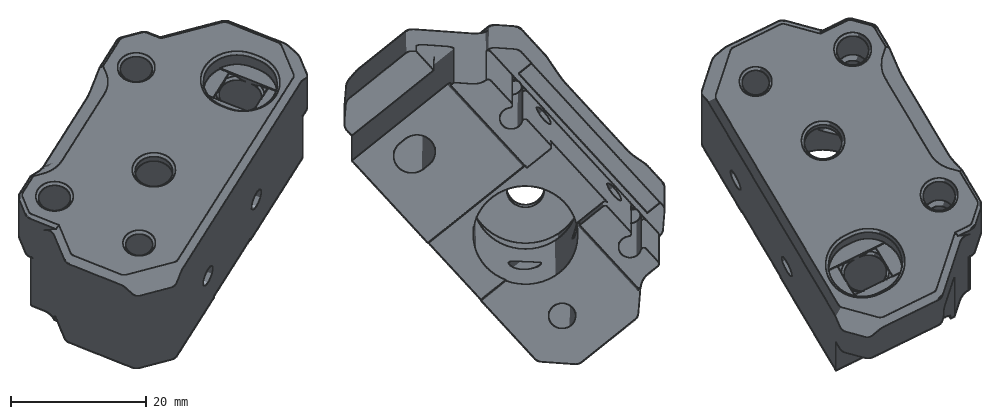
import cadquery as cq
WIDTH, LENGTH, HEIGHT = 27.65, 51.25, 21.4
OVERSHOOT = 0.5

FRONT_LEDGE_Y = 4.65
BACK_LEDGE_Y = 43.65
LOBE_CORNER = 2.9
FRONT_SLANT_X = 11.75
BACK_SLANT_X = 12.5
FRONT_RIGHT_CORNER = 4.35
BACK_RIGHT_CORNER = 3.0
CONVEX_RADIUS = 1.5
CONCAVE_RADIUS = 3.0

LOBE_CHAMFER = 0.5
SIDE_CHAMFER = 1.0
CORNER_CHAMFER = 2.5
MITRE_REACH = 2.55

WALL_X = 3.4
WALL_CORNER_RADIUS = 0.5
LOBE_BOTTOM = 11.65
PAD_WIDTH, PAD_DROP = 2.5, 0.15
PAD_FRONT, PAD_BACK = 8.65, 37.85
FOOT_RIGHT, FOOT_FRONT = 8.4, 3.8
FOOT_HEIGHT, FOOT_FILLET = 1.45, 0.65
STEP_Y = 46.5
STEP_HEIGHT = 11.5
RECESS_TOP, RECESS_RIGHT, RECESS_FILLET = 14.4, 11.7, 0.8

LOBE_MID_Y = 23.15
NOTCH_WIDTH, NOTCH_HEIGHT, NOTCH_LIP = 12.0, 1.75, 0.45
SCOOP_LENGTH, SCOOP_DEPTH, SCOOP_RADIUS = 13.9, 3.0, 5.0
CROSS_HOLE_DIAMETER, CROSS_HOLE_SPACING, CROSS_HOLE_Z = 3.2, 16.0, 8.95
SCREW_X, SCREW_SPACING = 5.0, 26.95
SCREW_DIAMETER, HEAD_DIAMETER, HEAD_FLOOR = 3.4, 4.7, 14.5
SCREW_SLOT_WIDTH, SCREW_SLOT_LIP = 2.65, 0.45

RIM_CHAMFER = 0.4
CENTRE_X, CENTRE_Y, CENTRE_DIAMETER = 15.95, 20.7, 5.6
CAVITY_DIAMETER, CAVITY_ROOF = 17.0, 19.95
CAVITY_LOWER_DIAMETER, CAVITY_LEDGE = 15.5, 15.65
PLAIN_HOLE_X, PLAIN_HOLE_Y, PLAIN_HOLE_DIAMETER = 20.15, 7.5, 4.0
POCKET_X, POCKET_Y = 19.95, 41.25
POCKET_DIAMETER, POCKET_DEPTH = 10.0, 2.65
BORE_DIAMETER = 5.4
STRETCH = 1.0
FLOOR_STEP = 0.2


def box(x0, x1, y0, y1, z0, z1):
    corner = cq.Workplane("XY", origin=(x0, y0, z0))
    return corner.box(x1 - x0, y1 - y0, z1 - z0, centered=False)


def mirrored_about_middle(distance):
    """The two Y positions a given distance apart, centred on the lobe."""
    return LOBE_MID_Y - distance / 2, LOBE_MID_Y + distance / 2


def upright_edge(solid, x, y):
    """Vertical edge of the solid at (x, y)."""
    near = 0.005
    zone = cq.selectors.BoxSelector((x - near, y - near, 0), (x + near, y + near, HEIGHT))
    return solid.edges("|Z").edges(zone)


def round_hole(x, y, diameter, bottom, top):
    return cq.Workplane("XY", origin=(x, y, bottom)).circle(diameter / 2).extrude(top - bottom)


def funnel(x, y, top_diameter, bottom_diameter, top):
    """45 degree cone that narrows downwards."""
    depth = (top_diameter - bottom_diameter) / 2
    centre = cq.Vector(x, y, top)
    down = cq.Vector(0, 0, -1)
    return cq.Workplane(obj=cq.Solid.makeCone(top_diameter / 2, bottom_diameter / 2, depth, centre, down))


def hole_with_rim(x, y, diameter, bottom):
    """Round hole from the top face down, with a chamfered rim."""
    rim = funnel(x, y, diameter + 2 * RIM_CHAMFER, diameter, HEIGHT)
    return round_hole(x, y, diameter, bottom, HEIGHT).union(rim)


def stretched_hole(diameter, bottom, top):
    """Hole at the pocket position, lengthened along X."""
    base = cq.Workplane("XY", origin=(POCKET_X, POCKET_Y, bottom))
    return base.slot2D(diameter + STRETCH, diameter).extrude(top - bottom)


def stretched_rim(diameter, top):
    """45 degree rim around a stretched hole."""
    mouth = stretched_hole(diameter + 2 * RIM_CHAMFER, top - RIM_CHAMFER, top + RIM_CHAMFER)
    return mouth.faces("<Z").edges().chamfer(RIM_CHAMFER)


def corner_edges(solid, x, y):
    """The vertical edge at a corner and the sloped edge where its two top chamfers meet."""
    mitre_zone = cq.selectors.BoxSelector(
        (x - MITRE_REACH, y - MITRE_REACH, HEIGHT - SIDE_CHAMFER),
        (x + MITRE_REACH, y + MITRE_REACH, HEIGHT),
    )
    return upright_edge(solid, x, y).vals() + solid.edges("not #Z").edges(mitre_zone).vals()


def chamfered_prism(outline):
    """Prism over (x, y, chamfer) rows; a row's chamfer, if any, runs to the next row.

    Corners between two chamfered sides are rounded.
    """
    prism = cq.Workplane("XY").polyline([(x, y) for x, y, _ in outline]).close().extrude(HEIGHT)
    sides = [side for side in zip(outline, outline[1:] + outline[:1]) if side[0][2]]
    for (x0, y0, chamfer), (x1, y1, _) in sorted(sides, key=lambda side: -side[0][2]):
        middle = cq.selectors.NearestToPointSelector(((x0 + x1) / 2, (y0 + y1) / 2, HEIGHT))
        prism = prism.faces(">Z").edges(middle).chamfer(chamfer)

    rounded = []
    for before, (x, y, chamfer) in zip(outline[-1:] + outline[:-1], outline):
        if before[2] and chamfer:
            rounded += corner_edges(prism, x, y)
    return prism.newObject(rounded).fillet(CONVEX_RADIUS)


def solid_block():
    lobe = chamfered_prism([
        (0, FRONT_LEDGE_Y + LOBE_CORNER, LOBE_CHAMFER),
        (LOBE_CORNER, FRONT_LEDGE_Y, LOBE_CHAMFER),
        (WIDTH / 2, FRONT_LEDGE_Y, 0),
        (WIDTH / 2, BACK_LEDGE_Y, LOBE_CHAMFER),
        (LOBE_CORNER, BACK_LEDGE_Y, LOBE_CHAMFER),
        (0, BACK_LEDGE_Y - LOBE_CORNER, LOBE_CHAMFER),
    ])
    hidden_x = LOBE_CORNER
    main_body = chamfered_prism([
        (hidden_x, FRONT_SLANT_X - hidden_x, SIDE_CHAMFER),
        (FRONT_SLANT_X, 0, SIDE_CHAMFER),
        (WIDTH - FRONT_RIGHT_CORNER, 0, CORNER_CHAMFER),
        (WIDTH, FRONT_RIGHT_CORNER, SIDE_CHAMFER),
        (WIDTH, LENGTH - BACK_RIGHT_CORNER, CORNER_CHAMFER),
        (WIDTH - BACK_RIGHT_CORNER, LENGTH, SIDE_CHAMFER),
        (BACK_SLANT_X, LENGTH, SIDE_CHAMFER),
        (hidden_x, LENGTH - BACK_SLANT_X + hidden_x, 0),
    ])
    block = lobe.union(main_body)

    concave_corners = [
        (FRONT_SLANT_X - FRONT_LEDGE_Y, FRONT_LEDGE_Y),
        (BACK_SLANT_X - LENGTH + BACK_LEDGE_Y, BACK_LEDGE_Y),
    ]
    for x, y in concave_corners:
        block = upright_edge(block, x, y).fillet(CONCAVE_RADIUS)
    return block


left, right = -OVERSHOOT, WIDTH + OVERSHOOT
front, back = -OVERSHOOT, LENGTH + OVERSHOOT
below = -OVERSHOOT


def lobe_undercut():
    """Space under the lobe, beside the rounded lower wall; a thin pad stays on the lobe."""
    space = box(left, WALL_X + WALL_CORNER_RADIUS, front, STEP_Y, below, LOBE_BOTTOM)
    wall = box(WALL_X, WIDTH, FRONT_LEDGE_Y, BACK_LEDGE_Y, below, LOBE_BOTTOM)
    wall = wall.edges("|Z and <X").fillet(WALL_CORNER_RADIUS)
    pad = box(left, PAD_WIDTH, PAD_FRONT, PAD_BACK, LOBE_BOTTOM - PAD_DROP, LOBE_BOTTOM)
    return space.cut(wall).cut(pad)


def foot_relief():
    """Shallow relief that leaves a foot along the lower left wall."""
    relief = box(WALL_X, right, front, back, below, FOOT_HEIGHT)
    relief = relief.cut(box(WALL_X, FOOT_RIGHT, FOOT_FRONT, back, below, FOOT_HEIGHT))
    foot_sides = cq.selectors.BoxSelector(
        (WALL_X, FOOT_FRONT - OVERSHOOT, 0),
        (FOOT_RIGHT + OVERSHOOT, LENGTH, HEIGHT),
    )
    return relief.faces(">Z").edges(foot_sides).fillet(FOOT_FILLET)


def raised_back():
    """Step in the underside at the back, with a deeper recess under the back slant."""
    step = box(left, right, STEP_Y, back, below, STEP_HEIGHT)
    recess = box(left, RECESS_RIGHT, STEP_Y, back, below, RECESS_TOP)
    return step.union(recess.edges("(>X or <Y) and >Z").fillet(RECESS_FILLET))


def cut_notch(block):
    """Notch across the underside with rounded lips at the lower left wall."""
    sides = mirrored_about_middle(NOTCH_WIDTH)
    block = block.cut(box(left, right, *sides, below, NOTCH_HEIGHT))
    for y in sides:
        block = upright_edge(block, WALL_X, y).fillet(NOTCH_LIP)
    return block


def cross_hole(y):
    start = cq.Workplane("YZ", origin=(left, y, CROSS_HOLE_Z))
    return start.circle(CROSS_HOLE_DIAMETER / 2).extrude(right - left)


def scoop():
    """45 degree scoop in the upper left edge; its ends turn outwards by 45 degrees."""
    turn = SCOOP_RADIUS * (2 ** 0.5 - 1)
    half = SCOOP_LENGTH / 2 + turn
    reach = 2 * SCOOP_DEPTH
    flared_half = half + SCOOP_DEPTH + reach
    points = [
        (SCOOP_DEPTH, -half),
        (SCOOP_DEPTH, half),
        (-reach, flared_half),
        (-reach, -flared_half),
    ]
    base = cq.Workplane("XY", origin=(0, LOBE_MID_Y, HEIGHT - SCOOP_DEPTH))
    tool = base.polyline(points).close().extrude(SCOOP_DEPTH + OVERSHOOT)
    tool = tool.edges("|Z and >X").fillet(SCOOP_RADIUS)
    return tool.faces("<Z").edges("not <X").chamfer(SCOOP_DEPTH)


def cut_screw_hole(block, y):
    """Screw hole with a deep countersunk head seat, open to the lower left wall."""
    sides = (y - SCREW_SLOT_WIDTH / 2, y + SCREW_SLOT_WIDTH / 2)
    block = block.cut(box(left, SCREW_X, *sides, below, STEP_HEIGHT))
    for side in sides:
        block = upright_edge(block, WALL_X, side).fillet(SCREW_SLOT_LIP)
    block = block.cut(round_hole(SCREW_X, y, SCREW_DIAMETER, below, HEIGHT))
    block = block.cut(funnel(SCREW_X, y, HEAD_DIAMETER, SCREW_DIAMETER, HEAD_FLOOR))
    return block.cut(hole_with_rim(SCREW_X, y, HEAD_DIAMETER, HEAD_FLOOR))


def centre_cavity():
    """Centre hole opening into a wide stepped cavity underneath."""
    upper = round_hole(CENTRE_X, CENTRE_Y, CAVITY_DIAMETER, CAVITY_LEDGE, CAVITY_ROOF)
    lower = round_hole(CENTRE_X, CENTRE_Y, CAVITY_LOWER_DIAMETER, below, CAVITY_ROOF)
    hole = hole_with_rim(CENTRE_X, CENTRE_Y, CENTRE_DIAMETER, CAVITY_LEDGE)
    return upper.union(lower).union(hole)


def stepped_pocket():
    """Stretched pocket whose floor steps down to a channel, a rectangle and a bore."""
    floor = HEIGHT - POCKET_DEPTH
    channel_floor = floor - FLOOR_STEP
    rectangle_floor = channel_floor - FLOOR_STEP
    pocket = stretched_hole(POCKET_DIAMETER, floor, HEIGHT)
    pocket = pocket.union(stretched_rim(POCKET_DIAMETER, HEIGHT))

    half_width = BORE_DIAMETER / 2
    half_length = half_width + STRETCH / 2
    y_range = (POCKET_Y - half_width, POCKET_Y + half_width)
    x_range = (POCKET_X - half_length, POCKET_X + half_length)
    channel = box(left, right, *y_range, channel_floor, floor)
    channel = channel.intersect(stretched_hole(POCKET_DIAMETER, channel_floor, floor))
    rectangle = box(*x_range, *y_range, rectangle_floor, floor)
    rim = stretched_rim(BORE_DIAMETER, rectangle_floor).intersect(box(*x_range, *y_range, 0, floor))
    bore = stretched_hole(BORE_DIAMETER, below, floor)
    return pocket.union(channel).union(rectangle).union(rim).union(bore)


part = solid_block().cut(lobe_undercut()).cut(foot_relief()).cut(raised_back())
part = cut_notch(part).cut(scoop())
for hole_y in mirrored_about_middle(CROSS_HOLE_SPACING):
    part = part.cut(cross_hole(hole_y))
for hole_y in mirrored_about_middle(SCREW_SPACING):
    part = cut_screw_hole(part, hole_y)
part = part.cut(hole_with_rim(PLAIN_HOLE_X, PLAIN_HOLE_Y, PLAIN_HOLE_DIAMETER, below))
part = part.cut(centre_cavity())
result = part.cut(stepped_pocket())